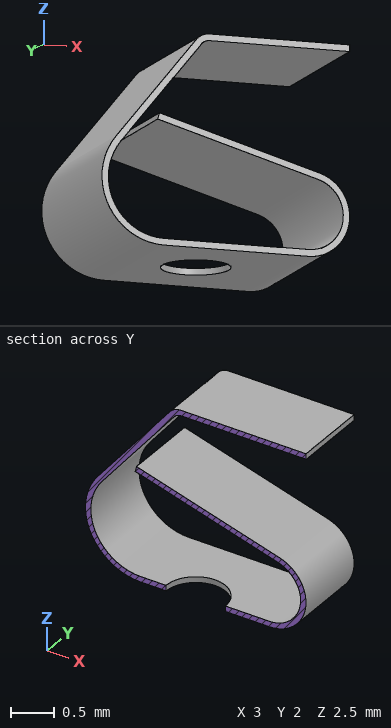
import cadquery as cq
import math

length = 3.0
width = 2.0
height = 2.5
thickness = 0.08

heel_radius = 0.75
loop_radius = 0.5
top_bend_radius = 0.2

top_flat_length = 1.7
arm_slope = 16.0
arm_length = 2.02
hole_diameter = 0.8

heel_centre = (heel_radius, heel_radius)
loop_centre = (length - loop_radius, loop_radius)
top_centre = (length - top_flat_length, height - top_bend_radius)

centre_run = top_centre[0] - heel_centre[0]
centre_rise = top_centre[1] - heel_centre[1]
centre_distance = math.hypot(centre_run, centre_rise)
centre_slope = math.degrees(math.atan2(centre_rise, centre_run))
wall_taper = math.degrees(math.asin((heel_radius - top_bend_radius) / centre_distance))
wall_normal = centre_slope + 90 - wall_taper

arm_normal = 90 - arm_slope


def polar(centre, radius, angle):
    """Point at a radius and an angle in degrees around a centre."""
    turn = math.radians(angle)
    return (centre[0] + radius * math.cos(turn), centre[1] + radius * math.sin(turn))


def add_bend(path, centre, radius, start, end):
    """Straight run to the start of a bend, then its arc."""
    return path.lineTo(*polar(centre, radius, start)).threePointArc(
        polar(centre, radius, (start + end) / 2),
        polar(centre, radius, end),
    )


def arm_tip(inset):
    """End of the spring arm, inset from its outer face."""
    tangent = polar(loop_centre, loop_radius - inset, arm_normal)
    return polar(tangent, arm_length, arm_normal + 90)


def make_strip():
    """Constant-thickness strip profile, extruded evenly about the XZ plane."""
    bends = [
        (top_centre, top_bend_radius, 90, wall_normal),
        (heel_centre, heel_radius, wall_normal, 270),
        (loop_centre, loop_radius, -90, arm_normal),
    ]
    path = cq.Workplane("XZ").moveTo(length, height)
    for centre, radius, start, end in bends:
        path = add_bend(path, centre, radius, start, end)
    path = path.lineTo(*arm_tip(0)).lineTo(*arm_tip(thickness))
    for centre, radius, start, end in reversed(bends):
        path = add_bend(path, centre, radius - thickness, end, start)
    path = path.lineTo(length, height - thickness).close()
    return path.extrude(width / 2, both=True)


def make_base_hole():
    """Cutter for the round hole in the middle of the base."""
    return (
        cq.Workplane("XY")
        .center(length / 2, 0)
        .circle(hole_diameter / 2)
        .extrude(thickness)
    )


result = make_strip().cut(make_base_hole())